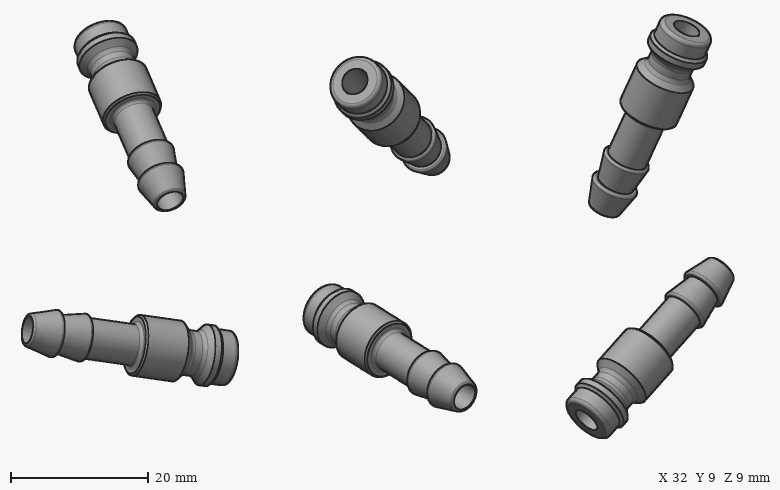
import cadquery as cq

LENGTH = 32.0
X_START = -LENGTH / 2

BORE_RADIUS = 4.0 / 2
NOSE_RADIUS = 8.1 / 2
BODY_RADIUS = 9.0 / 2
GROOVE_RADIUS = 6.65 / 2
STEM_RADIUS = 6.05 / 2
BARB_PEAK_RADIUS = 3.6
BARB_ROOT_RADIUS = 2.8
TIP_RADIUS = 2.4

NOSE_END = 2.62
COLLAR_END = 4.05
BODY_START = 8.32
BODY_END = 15.0
FIRST_BARB = 22.98
SECOND_BARB = 27.45

NOSE_ROUND = 0.6
GROOVE_FILLET = 1.0
BODY_CHAMFER = 0.3
STEM_FILLET = 0.5
BARB_ROUND = 0.35

COLLAR_START = NOSE_END + BODY_RADIUS - NOSE_RADIUS
GROOVE_DEPTH = BODY_RADIUS - GROOVE_RADIUS
GROOVE_START = COLLAR_END + GROOVE_DEPTH
GROOVE_END = BODY_START - GROOVE_DEPTH


def turned_blank():
    """Bored solid of revolution with all corners sharp except the body chamfer."""
    outline = [
        (0, BORE_RADIUS),
        (0, NOSE_RADIUS),
        (NOSE_END, NOSE_RADIUS),
        (COLLAR_START, BODY_RADIUS),
        (COLLAR_END, BODY_RADIUS),
        (GROOVE_START, GROOVE_RADIUS),
        (GROOVE_END, GROOVE_RADIUS),
        (BODY_START, BODY_RADIUS),
        (BODY_END - BODY_CHAMFER, BODY_RADIUS),
        (BODY_END, BODY_RADIUS - BODY_CHAMFER),
        (BODY_END, STEM_RADIUS),
        (FIRST_BARB, STEM_RADIUS),
        (FIRST_BARB, BARB_PEAK_RADIUS),
        (SECOND_BARB, BARB_ROOT_RADIUS),
        (SECOND_BARB, BARB_PEAK_RADIUS),
        (LENGTH, TIP_RADIUS),
        (LENGTH, BORE_RADIUS),
    ]
    profile = cq.Workplane("XY", origin=(X_START, 0, 0)).polyline(outline).close()
    return profile.revolve(360, (0, 0, 0), (1, 0, 0))


def round_edge(part, position, edge_radius, fillet_radius):
    """Fillet the circular edge at one axial position and radius."""
    tolerance = 0.003

    def is_wanted(edge):
        if edge.geomType() != "CIRCLE":
            return False
        at_position = abs(edge.Center().x - X_START - position) < tolerance
        return at_position and abs(edge.radius() - edge_radius) < tolerance

    return part.edges().filter(is_wanted).fillet(fillet_radius)


ROUNDED_EDGES = [
    (0, NOSE_RADIUS, NOSE_ROUND),
    (GROOVE_START, GROOVE_RADIUS, GROOVE_FILLET),
    (GROOVE_END, GROOVE_RADIUS, GROOVE_FILLET),
    (BODY_END, STEM_RADIUS, STEM_FILLET),
    (FIRST_BARB, BARB_PEAK_RADIUS, BARB_ROUND),
    (SECOND_BARB, BARB_PEAK_RADIUS, BARB_ROUND),
    (LENGTH, TIP_RADIUS, BARB_ROUND),
]

result = turned_blank()
for axial_position, circle_radius, rounding in ROUNDED_EDGES:
    result = round_edge(result, axial_position, circle_radius, rounding)